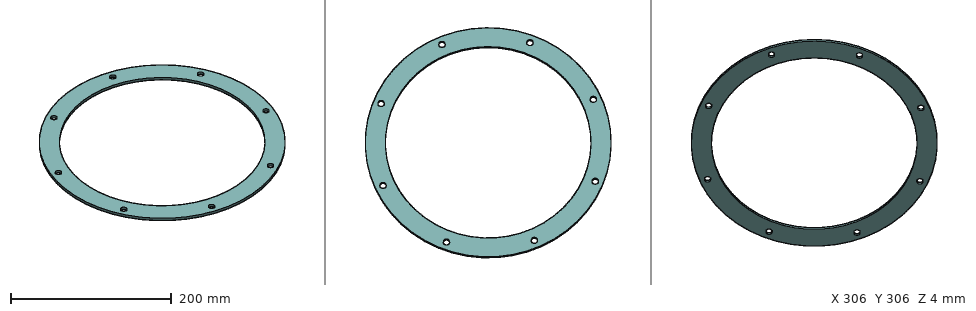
import cadquery as cq

outer_diameter = 306.0
inner_diameter = 255.5
thickness = 4.0

hole_count = 8
hole_diameter = 8.0
bolt_circle_diameter = 285.8

ring = (
    cq.Workplane("XY")
    .circle(outer_diameter / 2)
    .circle(inner_diameter / 2)
    .extrude(thickness)
)

bolt_holes = (
    cq.Workplane("XY")
    .polarArray(bolt_circle_diameter / 2, 0, 360, hole_count)
    .circle(hole_diameter / 2)
    .extrude(thickness)
)

result = ring.cut(bolt_holes)